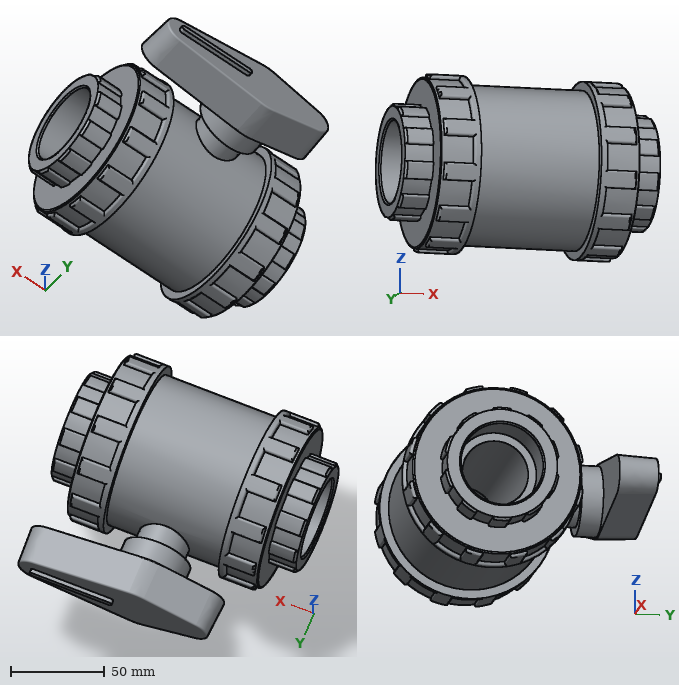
import cadquery as cq
import math

overall_length = 142.0
overall_width = 136.58
body_radius = 86.4 / 2
through_bore_radius = 35.88 / 2

nut_inner_x = 33.4
nut_length = 22.0
nut_outer_x = nut_inner_x + nut_length
nut_radius = 92.16 / 2
nut_edge_length = 0.5
nut_edge_height = 0.9

grip_radius = 96.0 / 2
rim_base_x = 37.4
rim_slope_length = 0.7
rib_count = 12
rib_width = 9.5
rib_fillet = 1.1
rib_end_gap = 2.0

connector_end_x = overall_length / 2
connector_radius = 30.0
tooth_count = 10
tooth_radius = 31.35
tooth_width = 9.6
tooth_fillet = 1.05
tooth_end_slope = tooth_radius - connector_radius
socket_radius = 44.84 / 2
socket_depth = 21.4
socket_chamfer = 0.9

cutter_margin = 1.0
tolerance = 0.01

stem_radius = 28.8 / 2
collar_radius = 38.4 / 2
collar_start_y = 52.8
handle_start_y = 64.5
handle_end_y = 86.15
handle_hub_radius = 20.3
handle_short_arm = 33.1
handle_short_tip_radius = 10.6
handle_long_arm = 57.4
handle_long_tip_radius = 11.1
handle_draft_angle = 3.0
handle_edge_fillet = 1.0

indicator_end_y = overall_width - grip_radius
indicator_start_x = 11.9
indicator_length = 47.8
indicator_width = 3.7


def revolved(profile):
    """Solid of revolution about X from (x, radius) points."""
    return cq.Workplane("XY").polyline(profile).close().revolve(360, (0, 0, 0), (1, 0, 0))


def cylinder_x(radius, start_x, end_x):
    return cq.Workplane("YZ", origin=(start_x, 0, 0)).circle(radius).extrude(end_x - start_x)


def radial_bars(count, first_angle, height, width, start_x, end_x):
    """Flat-sided bars along X, reaching from the axis outwards and spread evenly around it."""
    bar = cq.Workplane("XY").box(end_x - start_x, width, height, centered=(False, True, False))
    bar = bar.translate((start_x, 0, 0))
    bars = [
        bar.rotate((0, 0, 0), (1, 0, 0), first_angle + index * 360 / count).val()
        for index in range(count)
    ]
    return cq.Workplane(bars[0].fuse(*bars[1:]))


def make_nut():
    blank = cylinder_x(grip_radius, nut_inner_x, nut_outer_x)
    cutter_radius = grip_radius + cutter_margin
    rim_lean = rim_slope_length / (grip_radius - nut_radius)
    grip_gaps = revolved([
        (rim_base_x, nut_radius),
        (rim_base_x - rim_lean * (cutter_radius - nut_radius), cutter_radius),
        (nut_outer_x, cutter_radius),
        (nut_outer_x, nut_radius),
    ])
    ribs = radial_bars(
        rib_count, 180 / rib_count, cutter_radius + cutter_margin, rib_width,
        nut_inner_x, nut_outer_x - rib_end_gap,
    )
    nut = blank.cut(grip_gaps.cut(ribs))
    return round_grip(nut).intersect(make_nut_envelope())


def round_grip(nut):
    """Round the winding edge where the rim and rib tops drop to the gaps."""
    def is_grip_edge(edge):
        start = edge.startPoint()
        end = edge.endPoint()
        on_grip = all(abs(math.hypot(p.y, p.z) - grip_radius) < tolerance for p in (start, end))
        return on_grip and max(start.x, end.x) > nut_inner_x + tolerance

    edges = nut.edges().filter(is_grip_edge)
    return nut.newObject(edges.vals()).fillet(rib_fillet)


def make_nut_envelope():
    return revolved([
        (nut_inner_x, 0),
        (nut_inner_x, grip_radius + cutter_margin),
        (nut_outer_x - nut_edge_length, grip_radius + cutter_margin),
        (nut_outer_x - nut_edge_length, nut_radius),
        (nut_outer_x, nut_radius - nut_edge_height),
        (nut_outer_x, 0),
    ])


def make_connector():
    connector = cylinder_x(connector_radius, nut_inner_x, connector_end_x)
    teeth = radial_bars(
        tooth_count, 0, tooth_radius + cutter_margin, tooth_width, nut_inner_x, connector_end_x,
    )
    teeth = teeth.intersect(cylinder_x(tooth_radius, nut_inner_x, connector_end_x))
    connector = connector.union(teeth)
    flank_edges = connector.edges("|X").filter(
        lambda edge: math.hypot(edge.Center().y, edge.Center().z) > tooth_radius - tolerance
    )
    connector = connector.newObject(flank_edges.vals()).fillet(tooth_fillet)
    envelope = revolved([
        (nut_inner_x, 0),
        (nut_inner_x, tooth_radius + cutter_margin),
        (connector_end_x - tooth_end_slope - cutter_margin, tooth_radius + cutter_margin),
        (connector_end_x, connector_radius),
        (connector_end_x, 0),
    ])
    return connector.intersect(envelope)


def make_socket():
    floor_x = connector_end_x - socket_depth
    return revolved([
        (floor_x, 0),
        (floor_x, socket_radius),
        (connector_end_x - socket_chamfer, socket_radius),
        (connector_end_x, socket_radius + socket_chamfer),
        (connector_end_x, 0),
    ])


def on_both_ends(feature):
    return feature.union(feature.mirror("YZ"))


def xz_plane(y):
    """Plane facing +Y; its local x is -X and its local y is +Z."""
    return cq.Workplane(cq.Plane(origin=(0, y, 0), xDir=(-1, 0, 0), normal=(0, 1, 0)))


def make_stem():
    stem = xz_plane(0).circle(stem_radius).extrude(collar_start_y)
    collar = xz_plane(collar_start_y).circle(collar_radius).extrude(handle_start_y - collar_start_y)
    return stem.union(collar)


def tangent_points(centre, tip_radius):
    """Hub and tip points of the upper line tangent to the hub circle and a tip circle."""
    lean = (handle_hub_radius - tip_radius) / abs(centre)
    rise = math.sqrt(1 - lean**2)
    side = math.copysign(lean, centre)
    hub_point = (handle_hub_radius * side, handle_hub_radius * rise)
    tip_point = (centre + tip_radius * side, tip_radius * rise)
    return hub_point, tip_point


def below(point):
    return (point[0], -point[1])


def make_handle():
    short_hub, short_tip = tangent_points(handle_short_arm, handle_short_tip_radius)
    long_hub, long_tip = tangent_points(-handle_long_arm, handle_long_tip_radius)
    short_end = (handle_short_arm + handle_short_tip_radius, 0)
    long_end = (-handle_long_arm - handle_long_tip_radius, 0)
    handle = (
        xz_plane(handle_start_y)
        .moveTo(*short_hub)
        .lineTo(*short_tip)
        .threePointArc(short_end, below(short_tip))
        .lineTo(*below(short_hub))
        .threePointArc((0, -handle_hub_radius), below(long_hub))
        .lineTo(*below(long_tip))
        .threePointArc(long_end, long_tip)
        .lineTo(*long_hub)
        .threePointArc((0, handle_hub_radius), short_hub)
        .close()
        .extrude(handle_end_y - handle_start_y, taper=handle_draft_angle)
    )
    return handle.faces(">Y").edges().fillet(handle_edge_fillet)


def make_indicator():
    centre_x = indicator_start_x + indicator_length / 2
    return (
        xz_plane(handle_end_y)
        .center(-centre_x, 0)
        .slot2D(indicator_length, indicator_width)
        .extrude(indicator_end_y - handle_end_y)
    )


body = cylinder_x(body_radius, -rim_base_x, rim_base_x)
body = body.union(make_stem()).union(make_handle()).union(make_indicator())
body = body.union(on_both_ends(make_nut())).union(on_both_ends(make_connector()))
body = body.cut(cylinder_x(through_bore_radius, -connector_end_x, connector_end_x))
result = body.cut(on_both_ends(make_socket()))